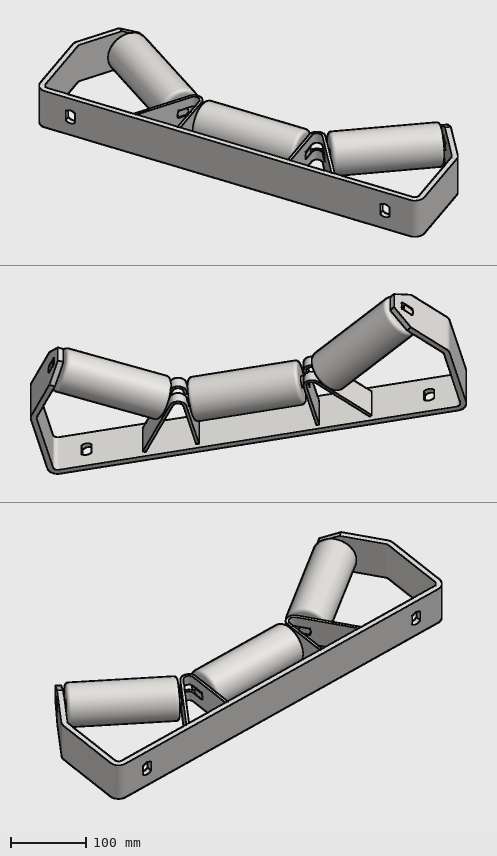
import cadquery as cq
import math


frame_length = 570.0
frame_height = 60.0
frame_thickness = 8.0
frame_bend_radius = 14.0
frame_depth = 195.0
upright_top = 110.0
trough_angle = 35.0
wing_tip_width = 24.0
wing_chamfer_length = 30.0
mount_hole_width = 13.5
mount_hole_height = 21.0
mount_hole_end_radius = 9.0
mount_hole_x = 233.0

bracket_thickness = 4.0
bracket_height = 43.5
bracket_bend_radius = 11.5
bracket_bend_y = 82.5
bracket_face_x = 80.0
bracket_drop = 1.4

roller_diameter = 60.0
roller_length = 150.0
roller_fillet = 5.0
shaft_radius = 8.0
shaft_flat_height = 10.0
neck_length = 3.5
side_axis_below_bend = 12.5
centre_axis_below_bend = 11.0
shaft_slot_height = 12.0
shaft_end_clearance = 0.3
wing_slot_length = 20.5
shaft_slot_end_radius = 13.5

lean = math.radians(trough_angle)
along_wing = cq.Vector(math.sin(lean), math.cos(lean))
along_axis = cq.Vector(math.cos(lean), -math.sin(lean))
half_lean = math.radians(trough_angle / 2)

wing_bend_centre = cq.Vector(-frame_length / 2 + frame_bend_radius, upright_top)
wing_root = wing_bend_centre - along_axis * frame_bend_radius
wing_length = (frame_depth - wing_root.y) / along_wing.y
wing_tip = wing_root + along_wing * wing_length

bracket_bend_centre = cq.Vector(-bracket_face_x - bracket_bend_radius, bracket_bend_y)
bracket_inner_radius = bracket_bend_radius - bracket_thickness
leg_inner_root = bracket_bend_centre - along_axis * bracket_inner_radius
leg_length = (leg_inner_root.y - frame_thickness) / along_wing.y

axis_on_bracket = bracket_bend_centre - along_axis * bracket_bend_radius - along_wing * side_axis_below_bend
side_span = (axis_on_bracket - wing_root).dot(along_axis) - frame_thickness
side_roller_centre = axis_on_bracket - along_axis * (side_span / 2)
axis_on_wing = axis_on_bracket - along_axis * (side_span + frame_thickness)
centre_roller_y = bracket_bend_y - centre_axis_below_bend

side_roller_drop = (shaft_slot_height - shaft_flat_height) / 2
centre_roller_drop = bracket_drop + side_roller_drop


def flat_sided_slot(plane, length, width, end_radius, depth):
    """Slot along the plane's X with straight sides and shallow arc ends, cut both ways from the plane."""
    sagitta = end_radius - math.sqrt(end_radius**2 - (width / 2) ** 2)
    side_x = length / 2 - sagitta
    return (
        cq.Workplane(plane)
        .moveTo(-side_x, -width / 2)
        .lineTo(side_x, -width / 2)
        .threePointArc((length / 2, 0), (side_x, width / 2))
        .lineTo(-side_x, width / 2)
        .threePointArc((-length / 2, 0), (-side_x, -width / 2))
        .close()
        .extrude(depth, both=True)
    )


def shaft_slot(plane, length, depth):
    """Slot that holds the flats of a shaft, in a wing or a bracket leg."""
    return flat_sided_slot(plane, length, shaft_slot_height, shaft_slot_end_radius, depth)


def wing_plane(origin):
    """Plane lying in the left-hand wing or inclined leg, X toward the tip."""
    return cq.Plane(origin=origin.toTuple(), xDir=along_wing.toTuple(), normal=along_axis.toTuple())


def xy(point):
    """X and Y of a point, for sketching on the XY plane."""
    return (point.x, point.y)


def mirrored(body):
    """Right-hand copy of a left-hand body."""
    return body.mirror("YZ")


def frame_half_bar():
    """Left half of the bent bar."""
    inner_radius = frame_bend_radius - frame_thickness
    corner = cq.Vector(-frame_length / 2 + frame_bend_radius, frame_bend_radius)
    to_corner = cq.Vector(-math.sqrt(0.5), -math.sqrt(0.5))
    to_wing_bend = cq.Vector(-math.cos(half_lean), math.sin(half_lean))
    left = -frame_length / 2
    return (
        cq.Workplane("XY")
        .workplane(offset=-frame_height / 2)
        .moveTo(0, 0)
        .lineTo(corner.x, 0)
        .threePointArc(xy(corner + to_corner * frame_bend_radius), (left, corner.y))
        .lineTo(left, upright_top)
        .threePointArc(
            xy(wing_bend_centre + to_wing_bend * frame_bend_radius), xy(wing_root)
        )
        .lineTo(wing_tip.x, wing_tip.y)
        .lineTo(*xy(wing_tip + along_axis * frame_thickness))
        .lineTo(*xy(wing_root + along_axis * frame_thickness))
        .threePointArc(
            xy(wing_bend_centre + to_wing_bend * inner_radius),
            (left + frame_thickness, upright_top),
        )
        .lineTo(left + frame_thickness, corner.y)
        .threePointArc(xy(corner + to_corner * inner_radius), (corner.x, frame_thickness))
        .lineTo(0, frame_thickness)
        .close()
        .extrude(frame_height)
    )


def wing_tip_chamfers():
    """The two triangles cut off the tip of the left-hand wing."""
    cutters = cq.Workplane("XY")
    for side in (-1, 1):
        triangle = (
            cq.Workplane(wing_plane(wing_tip))
            .moveTo(0, side * wing_tip_width / 2)
            .lineTo(0, side * frame_height / 2)
            .lineTo(-wing_chamfer_length, side * frame_height / 2)
            .close()
            .extrude(2 * frame_thickness, both=True)
        )
        cutters = cutters.add(triangle)
    return cutters.combine()


def wing_slot():
    """Slot for the outer shaft end; the shaft lies near its lower end, on its lower side."""
    slot_centre = axis_on_wing + along_wing * (wing_slot_length / 2 - shaft_radius - shaft_end_clearance)
    return shaft_slot(wing_plane(slot_centre), wing_slot_length, 2 * frame_thickness)


def mount_hole():
    """Upright hole through the base bar."""
    plane = cq.Plane(origin=(-mount_hole_x, 0, 0), xDir=(0, 0, 1), normal=(0, 1, 0))
    return flat_sided_slot(
        plane, mount_hole_height, mount_hole_width, mount_hole_end_radius, 2 * frame_thickness
    )


def make_frame():
    half = frame_half_bar().cut(wing_tip_chamfers()).cut(wing_slot()).cut(mount_hole())
    return half.union(mirrored(half)).clean()


def bracket_strip():
    """Upright leg, bend and inclined leg of the left-hand bracket."""
    to_bend_middle = cq.Vector(math.sin(half_lean), math.cos(half_lean))
    outer_leg_root = bracket_bend_centre - along_axis * bracket_bend_radius
    inner_x = -bracket_face_x - bracket_thickness
    return (
        cq.Workplane("XY")
        .workplane(offset=-bracket_height / 2)
        .moveTo(-bracket_face_x, frame_thickness)
        .lineTo(-bracket_face_x, bracket_bend_y)
        .threePointArc(
            xy(bracket_bend_centre + to_bend_middle * bracket_bend_radius),
            xy(outer_leg_root),
        )
        .lineTo(*xy(outer_leg_root - along_wing * leg_length))
        .lineTo(*xy(leg_inner_root - along_wing * leg_length))
        .lineTo(*xy(leg_inner_root))
        .threePointArc(
            xy(bracket_bend_centre + to_bend_middle * bracket_inner_radius),
            (inner_x, bracket_bend_y),
        )
        .lineTo(inner_x, frame_thickness)
        .close()
        .extrude(bracket_height)
    )


def bracket_slot():
    """One slot running over the bend, ending under the shaft in each leg."""
    end_margin = shaft_radius + shaft_end_clearance
    inclined_plane = wing_plane(bracket_bend_centre - along_axis * bracket_bend_radius)
    inclined_length = 2 * (side_axis_below_bend + end_margin)
    upright_plane = cq.Plane(
        origin=(-bracket_face_x, bracket_bend_y, 0), xDir=(0, 1, 0), normal=(1, 0, 0)
    )
    upright_length = 2 * (centre_axis_below_bend + end_margin)
    inclined = shaft_slot(inclined_plane, inclined_length, bracket_bend_radius)
    upright = shaft_slot(upright_plane, upright_length, bracket_bend_radius)
    return inclined.union(upright)


def make_left_bracket():
    return bracket_strip().cut(bracket_slot()).translate((0, 0, -bracket_drop))


def make_roller(left_shaft, right_shaft):
    """Roller along X centred on the origin, with the given lengths of shaft beyond its two ends."""
    roller = (
        cq.Workplane("YZ")
        .workplane(offset=-roller_length / 2)
        .circle(roller_diameter / 2)
        .extrude(roller_length)
        .edges()
        .fillet(roller_fillet)
    )
    for side, shaft_length in ((-1, left_shaft), (1, right_shaft)):
        end = cq.Workplane("YZ").workplane(offset=side * roller_length / 2)
        neck = end.circle(shaft_radius).extrude(side * neck_length)
        flatted = (
            end.circle(shaft_radius)
            .extrude(side * shaft_length)
            .intersect(end.rect(2 * shaft_radius, shaft_flat_height).extrude(side * shaft_length))
        )
        roller = roller.union(neck).union(flatted)
    return roller


def make_centre_roller():
    shaft = bracket_face_x + bracket_thickness - roller_length / 2
    return make_roller(shaft, shaft).translate((0, centre_roller_y, -centre_roller_drop))


def make_left_roller():
    gap = (side_span - roller_length) / 2
    return (
        make_roller(gap + frame_thickness, gap + bracket_thickness)
        .rotate((0, 0, 0), (0, 0, 1), -trough_angle)
        .translate((side_roller_centre.x, side_roller_centre.y, -side_roller_drop))
    )


frame = make_frame()
left_bracket = make_left_bracket()
centre_roller = make_centre_roller()
left_roller = make_left_roller()
bodies = [frame, centre_roller]
for left_body in (left_bracket, left_roller):
    bodies += [left_body, mirrored(left_body)]

result = cq.Compound.makeCompound([body.solids().val() for body in bodies])